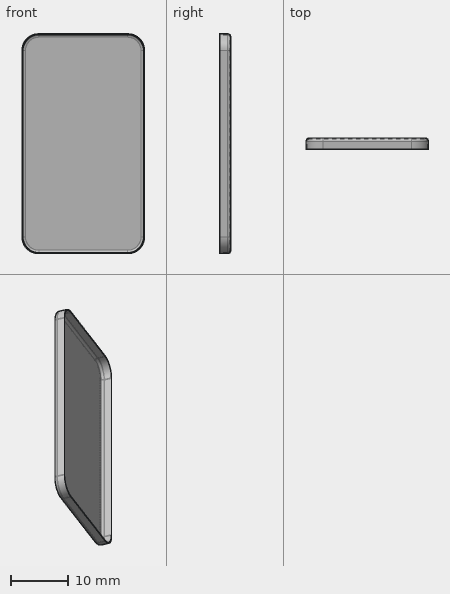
import cadquery as cq

width = 21.5
depth = 2.0
height = 38.5
corner_radius = 2.95
back_edge_radius = 0.6

wall = 0.2
floor_thickness = 0.2
inner_edge_radius = back_edge_radius - wall


def rounded_block(size_x, size_y, size_z, radius, edge_radius):
    """Block with its back face at Y = 0, rounded corners and a rounded back edge."""
    block = cq.Workplane("XZ").rect(size_x, size_z).extrude(size_y)
    block = block.edges("|Y").fillet(radius)
    return block.faces(">Y").edges().fillet(edge_radius)


shell = rounded_block(width, depth, height, corner_radius, back_edge_radius)
cavity = rounded_block(
    width - 2 * wall,
    depth - floor_thickness,
    height - 2 * wall,
    corner_radius - wall,
    inner_edge_radius,
).translate((0, -floor_thickness, 0))

result = shell.cut(cavity)